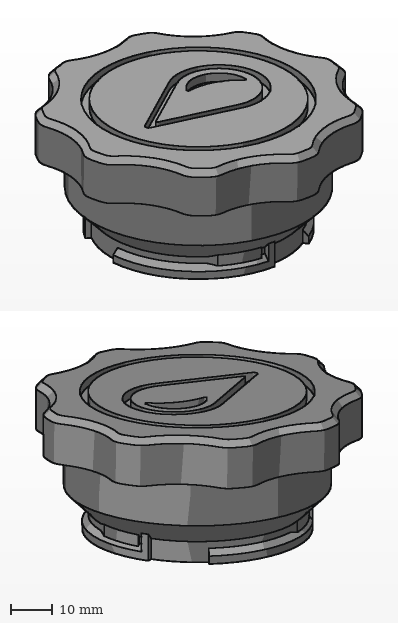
import cadquery as cq
import math

total_height = 35.0
body_cone_top = 11.3
knob_bottom = 23.0

body_radius = 32.5
neck_radius = 26.5
body_cone_bottom = body_cone_top - (body_radius - neck_radius)

lobe_count = 9
first_scallop_angle = 90.0
lobe_radius = 40.0
scallop_depth = 4.0
scallop_radius = 20.0
lobe_corner_radius = 5.0
knob_chamfer = 1.6

recess_depth = 2.3
recess_gap = 2.0
ring_outer_radius = 28.5
drop_center_y = 8.0
drop_outer_radius = 12.5
drop_half_angle = 25.0
drop_outer_tip_radius = 1.0
drop_inner_tip_radius = 0.4
glint_radius = 8.0
glint_cut_center = (11.7, 1.85)
glint_cut_radius = 16.25
glint_tip_radius = 0.4

bayonet_count = 3
bayonet_pitch = 360.0 / bayonet_count
bayonet_start_angle = 141.0
flange_radius = 28.0
flange_edge_height = 2.05
flange_step = flange_radius - neck_radius
flange_top = flange_edge_height + flange_step
flange_sweep = 89.0
stop_sweep = 4.0
stop_top = body_cone_bottom + flange_step
pad_radius = 27.1
pad_start = 52.0
pad_full = 57.5
pad_end = 82.0
pad_top = body_cone_bottom + pad_radius - neck_radius
overlap = 1.0


def polar(radius, angle):
    """Point at the given radius and angle in degrees."""
    return (radius * math.cos(math.radians(angle)), radius * math.sin(math.radians(angle)))


def make_body():
    """Plug neck, cone and cylindrical body as one revolved profile."""
    profile = [
        (0, 0),
        (neck_radius, 0),
        (neck_radius, body_cone_bottom),
        (body_radius, body_cone_top),
        (body_radius, knob_bottom),
        (0, knob_bottom),
    ]
    return cq.Workplane("XZ").polyline(profile).close().revolve(360, (0, 0), (0, 1))


def make_knob():
    """Scalloped grip with rounded lobe corners and a chamfered top edge."""
    thickness = total_height - knob_bottom
    scallop_distance = lobe_radius - scallop_depth + scallop_radius
    knob = cq.Workplane("XY").workplane(offset=knob_bottom).circle(lobe_radius).extrude(thickness)
    scallops = (
        cq.Workplane("XY")
        .workplane(offset=knob_bottom)
        .polarArray(scallop_distance, first_scallop_angle, 360, lobe_count)
        .circle(scallop_radius)
        .extrude(thickness)
    )
    knob = knob.cut(scallops)
    knob = knob.edges("|Z").fillet(lobe_corner_radius)
    return knob.faces(">Z").chamfer(knob_chamfer)


def recess_floor():
    """Workplane at the floor of the recesses in the top face."""
    return cq.Workplane("XY").workplane(offset=total_height - recess_depth)


def make_drop(radius, tip_radius):
    """Teardrop prism: a round head with tangent sides meeting in a rounded lower tip."""
    tangent_x = radius * math.cos(math.radians(drop_half_angle))
    tangent_y = drop_center_y - radius * math.sin(math.radians(drop_half_angle))
    tip_y = drop_center_y - radius / math.sin(math.radians(drop_half_angle))
    drop = (
        recess_floor()
        .moveTo(0, tip_y)
        .lineTo(tangent_x, tangent_y)
        .threePointArc((0, drop_center_y + radius), (-tangent_x, tangent_y))
        .close()
        .extrude(recess_depth)
    )
    return drop.edges("|Z").edges("<Y").fillet(tip_radius)


def make_glint():
    """Crescent pocket inside the drop."""
    disc = recess_floor().center(0, drop_center_y).circle(glint_radius).extrude(recess_depth)
    bite = recess_floor().center(*glint_cut_center).circle(glint_cut_radius).extrude(recess_depth)
    return disc.cut(bite).edges("|Z").fillet(glint_tip_radius)


def make_ring_groove():
    """Circular groove around the drop."""
    ring_inner_radius = ring_outer_radius - recess_gap
    return recess_floor().circle(ring_outer_radius).circle(ring_inner_radius).extrude(recess_depth)


def make_drop_groove():
    """Groove along the drop outline that leaves the drop standing as an island."""
    recess = make_drop(drop_outer_radius, drop_outer_tip_radius)
    island = make_drop(drop_outer_radius - recess_gap, drop_inner_tip_radius)
    return recess.cut(island)


def revolve_sector(profile, start, sweep):
    """Revolve an (r, z) profile about Z from the start angle through the sweep."""
    sector = cq.Workplane("XZ").polyline(profile).close().revolve(sweep, (0, 0), (0, 1))
    return sector.rotate((0, 0, 0), (0, 0, 1), start)


def make_pad():
    """Thickened stretch of the neck with a flat lead-in."""
    inner = neck_radius - overlap
    return (
        cq.Workplane("XY")
        .moveTo(*polar(inner, pad_start))
        .lineTo(*polar(neck_radius, pad_start))
        .lineTo(*polar(pad_radius, pad_full))
        .threePointArc(polar(pad_radius, (pad_full + pad_end) / 2), polar(pad_radius, pad_end))
        .lineTo(*polar(inner, pad_end))
        .threePointArc(polar(inner, (pad_start + pad_end) / 2), polar(inner, pad_start))
        .close()
        .extrude(pad_top)
    )


def make_bayonet():
    """Flange with a sloped upper face, end stop and pad, starting at angle zero."""
    inner = neck_radius - overlap
    flange_profile = [
        (inner, 0),
        (flange_radius, 0),
        (flange_radius, flange_edge_height),
        (neck_radius, flange_top),
        (inner, flange_top),
    ]
    stop_profile = [(inner, 0), (flange_radius, 0), (flange_radius, stop_top), (inner, stop_top)]
    flange = revolve_sector(flange_profile, 0, flange_sweep)
    stop = revolve_sector(stop_profile, flange_sweep - stop_sweep, stop_sweep)
    return flange.union(stop).union(make_pad())


result = make_body().union(make_knob())
result = result.cut(make_ring_groove())
result = result.cut(make_drop_groove())
result = result.cut(make_glint())
bayonet = make_bayonet()
for index in range(bayonet_count):
    angle = bayonet_start_angle + index * bayonet_pitch
    result = result.union(bayonet.rotate((0, 0, 0), (0, 0, 1), angle))